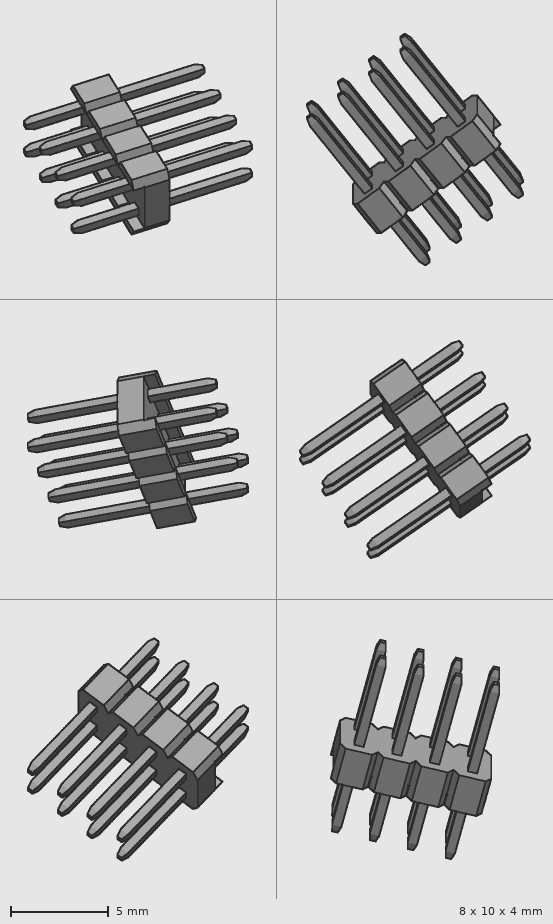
import cadquery as cq
import math

pitch = 2.0
columns = 4
rows = 2

housing_width = columns * pitch
housing_height = rows * pitch
housing_depth = 2.0
core_depth = 1.4
flange_thickness = 0.5
notch_half_width = 0.3
notch_angle = 60.0
notch_depth = notch_half_width * math.tan(math.radians(notch_angle))

pin_width = 0.5
pin_length = 10.0
tip_length = 0.4
tip_width = 0.3


def centred_positions(count):
    """Positions of `count` items spaced one pitch apart about zero."""
    return [(index - (count - 1) / 2) * pitch for index in range(count)]


def housing_segment(x):
    """One column of the housing: a block with its four long edges bevelled."""
    half_width = pitch / 2
    half_height = housing_height / 2
    flat_half_width = half_width - notch_half_width
    shoulder = half_height - notch_depth
    outline = [
        (x - half_width, -shoulder),
        (x - flat_half_width, -half_height),
        (x + flat_half_width, -half_height),
        (x + half_width, -shoulder),
        (x + half_width, shoulder),
        (x + flat_half_width, half_height),
        (x - flat_half_width, half_height),
        (x - half_width, shoulder),
    ]
    return cq.Workplane("XZ").polyline(outline).close().extrude(housing_depth)


def make_housing():
    """Joined columns, with the front recessed between the top and bottom flanges."""
    housing = housing_segment(centred_positions(columns)[0])
    for x in centred_positions(columns)[1:]:
        housing = housing.union(housing_segment(x))
    recess_height = housing_height - 2 * flange_thickness
    recess = (
        cq.Workplane("XZ", origin=(0, -core_depth, 0))
        .rect(housing_width, recess_height)
        .extrude(housing_depth - core_depth)
    )
    return housing.cut(recess)


def pin_tip(x, z, shank_end, direction):
    """Square tapered tip pointing along +Y (direction 1) or -Y (direction -1)."""
    base = cq.Plane(origin=(x, shank_end, z), xDir=(1, 0, 0), normal=(0, direction, 0))
    return (
        cq.Workplane(base)
        .rect(pin_width, pin_width)
        .workplane(offset=tip_length)
        .rect(tip_width, tip_width)
        .loft(ruled=True)
    )


def make_pin(x, z):
    """Square pin centred on Y = 0 with a tapered tip at each end."""
    shank_length = pin_length - 2 * tip_length
    pin = cq.Workplane("XY").box(pin_width, shank_length, pin_width).translate((x, 0, z))
    for direction in (1, -1):
        pin = pin.union(pin_tip(x, z, direction * shank_length / 2, direction))
    return pin


result = make_housing()
for pin_x in centred_positions(columns):
    for pin_z in centred_positions(rows):
        result = result.union(make_pin(pin_x, pin_z))